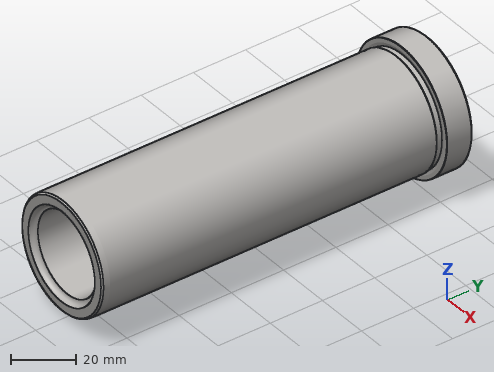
import cadquery as cq

length = 140.0
head_diameter = 47.0
head_length = 10.0
head_chamfer = 0.5
head_rim_chamfer = 0.1
body_diameter = 42.0
bore_diameter = 30.0
bore_rounding = 2.1

groove_depth = 0.4
groove_width = 2.1

undercut_diameter = 43.7
undercut_depth = 0.3

lead_length = 3.0
lead_drop = 0.1
lead_chamfer = 0.5

head_radius = head_diameter / 2
body_radius = body_diameter / 2
bore_radius = bore_diameter / 2
groove_radius = body_radius - groove_depth
undercut_radius = undercut_diameter / 2
tip_radius = body_radius - lead_drop
free_end = -length / 2
head_end = length / 2
head_shoulder = head_end - head_length
groove_start = head_shoulder - groove_width


def make_outer_shape():
    """Revolve the solid outer outline about the Y axis."""
    outline = (
        cq.Workplane("XY")
        .moveTo(0, free_end)
        .lineTo(tip_radius - lead_chamfer, free_end)
        .lineTo(tip_radius, free_end + lead_chamfer)
        .lineTo(body_radius, free_end + lead_length)
        .lineTo(body_radius, groove_start)
        .lineTo(groove_radius, groove_start + groove_depth)
        .lineTo(groove_radius, head_shoulder + undercut_depth)
        .lineTo(undercut_radius, head_shoulder)
        .lineTo(head_radius - head_rim_chamfer, head_shoulder)
        .lineTo(head_radius, head_shoulder + head_rim_chamfer)
        .lineTo(head_radius, head_end - head_chamfer)
        .lineTo(head_radius - head_chamfer, head_end)
        .lineTo(0, head_end)
        .close()
    )
    return outline.revolve(360, (0, 0), (0, 1))


def make_bore():
    """Revolve the through bore, with both mouths rounded outward."""
    mouth_radius = bore_radius + bore_rounding
    outline = (
        cq.Workplane("XY")
        .moveTo(0, free_end)
        .lineTo(mouth_radius, free_end)
        .radiusArc((bore_radius, free_end + bore_rounding), -bore_rounding)
        .lineTo(bore_radius, head_end - bore_rounding)
        .radiusArc((mouth_radius, head_end), -bore_rounding)
        .lineTo(0, head_end)
        .close()
    )
    return outline.revolve(360, (0, 0), (0, 1))


result = make_outer_shape().cut(make_bore())